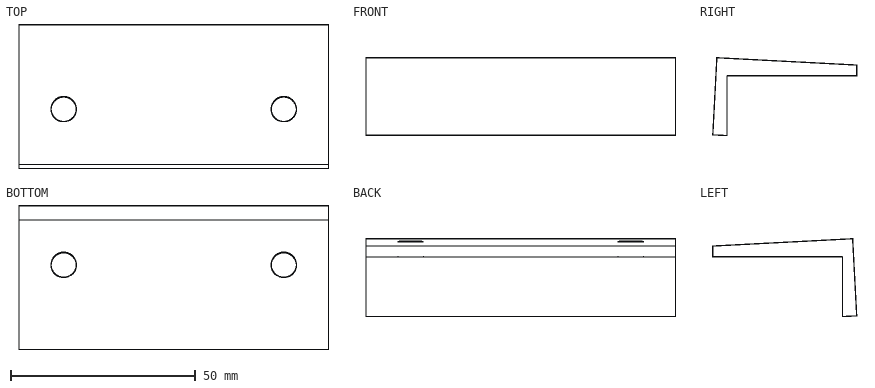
import cadquery as cq
import math

length = 84.0
depth = 39.1
height = 21.2

tilt = 3.0
leg_toe_thickness = 3.95
flange_corner_thickness = 4.95

hole_diameter = 6.8
hole_spacing = 59.6
hole_setback = 16.2

slope = math.tan(math.radians(tilt))

toe_rise = leg_toe_thickness * slope
corner_y = (height - toe_rise) * slope
back_top_z = height - (depth - corner_y) * slope
flange_bottom_z = height - flange_corner_thickness


def angle_bar():
    """L-shaped bar running along X, centred on the YZ plane."""
    section = [
        (0, toe_rise),
        (corner_y, height),
        (depth, back_top_z),
        (depth, flange_bottom_z),
        (leg_toe_thickness, flange_bottom_z),
        (leg_toe_thickness, 0),
    ]
    return cq.Workplane("YZ").polyline(section).close().extrude(length / 2, both=True)


def hole_cutter(x):
    """Cylinder square to the top face, passing right through the flange."""
    top_z = height - (hole_setback - corner_y) * slope
    reach = 2 * flange_corner_thickness
    top_normal = (0, math.sin(math.radians(tilt)), math.cos(math.radians(tilt)))
    plane = cq.Plane(origin=(x, hole_setback, top_z), xDir=(1, 0, 0), normal=top_normal)
    return cq.Workplane(plane).circle(hole_diameter / 2).extrude(reach, both=True)


result = angle_bar()
for hole_x in (-hole_spacing / 2, hole_spacing / 2):
    result = result.cut(hole_cutter(hole_x))